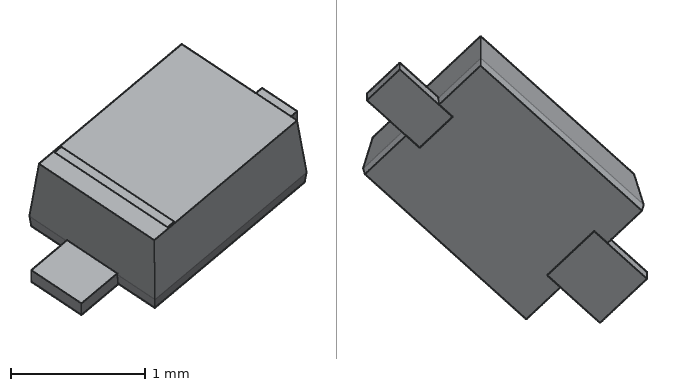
import cadquery as cq
import math

TOTAL_LENGTH = 2.5
TOTAL_HEIGHT = 0.7

HOUSING_WIDTH = 1.25
HOUSING_LENGTH = 1.7
STANDOFF = 0.008
PARTING_Z = 0.12
DRAFT_ANGLE = 5.0

LEAD_THICKNESS = 0.13
LEAD_INNER_Y = 0.7
FRONT_LEAD_WIDTH = 0.5
BACK_LEAD_WIDTH = 0.35

BAND_WIDTH = 1.125
BAND_LENGTH = 0.075
BAND_Y = -0.6
BAND_DEPTH = 0.01


def make_drafted_half(height):
    """Return one housing half, tapering away from the parting plane (up if height > 0)."""
    inset = abs(height) * math.tan(math.radians(DRAFT_ANGLE))
    return (
        cq.Workplane("XY")
        .workplane(offset=PARTING_Z)
        .rect(HOUSING_WIDTH, HOUSING_LENGTH)
        .workplane(offset=height)
        .rect(HOUSING_WIDTH - 2 * inset, HOUSING_LENGTH - 2 * inset)
        .loft(ruled=True)
    )


def make_lead(width, side):
    """Return a flat lead on the -Y side (side = -1) or the +Y side (side = 1)."""
    length = TOTAL_LENGTH / 2 - LEAD_INNER_Y
    center_y = side * (LEAD_INNER_Y + length / 2)
    return (
        cq.Workplane("XY")
        .box(width, length, LEAD_THICKNESS, centered=(True, True, False))
        .translate((0, center_y, 0))
    )


def make_band():
    """Return the polarity band, with its upper face level with the housing top."""
    return (
        cq.Workplane("XY")
        .box(BAND_WIDTH, BAND_LENGTH, BAND_DEPTH, centered=(True, True, False))
        .translate((0, BAND_Y, TOTAL_HEIGHT - BAND_DEPTH))
    )


def make_housing(embedded_bodies):
    """Return the housing with a matching recess for each embedded body."""
    upper_half = make_drafted_half(TOTAL_HEIGHT - PARTING_Z)
    lower_half = make_drafted_half(STANDOFF - PARTING_Z)
    housing = upper_half.union(lower_half)
    for body in embedded_bodies:
        housing = housing.cut(body)
    return housing.solids()


leads = [make_lead(FRONT_LEAD_WIDTH, -1), make_lead(BACK_LEAD_WIDTH, 1)]
band = make_band()
housing = make_housing([*leads, band])

result = cq.Compound.makeCompound([housing.val(), *[lead.val() for lead in leads], band.val()])